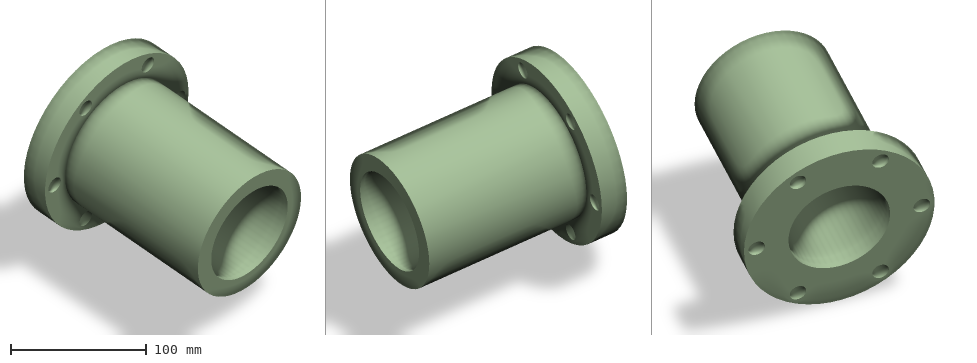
import cadquery as cq

total_length = 160.0
flange_diameter = 150.0
flange_thickness = 22.0
sleeve_diameter = 108.0
bore_diameter = 80.0

bolt_count = 6
bolt_circle_diameter = 130.0
bolt_hole_diameter = 13.0


def cylinder(diameter, start, end):
    """Solid cylinder along X between two axial positions."""
    return cq.Workplane("YZ", origin=(start, 0, 0)).circle(diameter / 2).extrude(end - start)


def bolt_holes():
    """Ring of drills, the first one on the +Y side."""
    return (
        cq.Workplane("YZ")
        .polarArray(bolt_circle_diameter / 2, 0, 360, bolt_count)
        .circle(bolt_hole_diameter / 2)
        .extrude(flange_thickness)
    )


flange = cylinder(flange_diameter, 0, flange_thickness)
sleeve = cylinder(sleeve_diameter, flange_thickness, total_length)
bore = cylinder(bore_diameter, 0, total_length)

result = flange.union(sleeve).cut(bore).cut(bolt_holes())